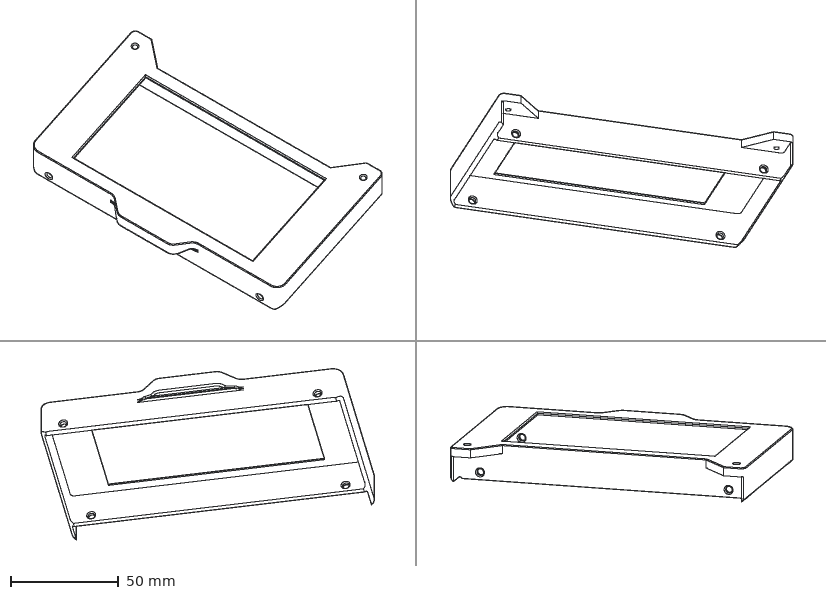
import cadquery as cq

LENGTH = 142.5
HALF_LENGTH = LENGTH / 2
TOLERANCE = 0.1
HEIGHT = 17.5
BODY_DEPTH = 71.7
FRONT_CORNER_RADIUS = 5.0
TOP_CHAMFER = 0.4
BOTTOM_CHAMFER = 2.8

TOP_THICKNESS = 1.3
SIDE_WALL = 1.7
FRONT_WALL = 3.0
REAR_WALL = 2.4
CAVITY_RADIUS = 1.7

WINDOW_LENGTH = 101.9
WINDOW_DEPTH = 57.4
WINDOW_BEVEL = 0.5

EAR_REACH = 12.0
EAR_INNER_X = 49.2
EAR_THICKNESS = 4.3
EAR_OVERHANG = 0.7
EAR_CORNER_RADIUS = 2.5
EAR_END_Y = BODY_DEPTH + EAR_REACH

TAB_REACH = 8.0
TAB_HALF_LENGTH = 15.1
TAB_RADIUS = 4.7
TAB_ROOT_THICKNESS = 5.8
TAB_TIP_THICKNESS = 8.3
TAB_SLOPE_START = 1.4
TAB_SLOPE_END = 5.3
TAB_CHAMFER = 0.9
TAB_FILL = 0.9
TAB_BLOCK_X = TAB_HALF_LENGTH + TAB_REACH + 2 * TAB_RADIUS

HOLE_BEVEL = 0.5
WALL_HOLE_DIAMETER = 3.1
WALL_HOLE_X = 60.0
WALL_HOLE_Z = 3.5
EAR_HOLE_DIAMETER = 2.4
EAR_HOLE_X = 65.0
EAR_HOLE_Y = 75.7


def box(x_min, x_max, y_min, y_max, z_min, z_max):
    """Axis-aligned block between the given limits."""
    size = (x_max - x_min, y_max - y_min, z_max - z_min)
    return cq.Workplane("XY").box(*size, centered=False).translate((x_min, y_min, z_min))


def make_body():
    """Solid block with the two ears, before hollowing."""
    ear_tip_x = EAR_INNER_X + EAR_REACH
    outline = [
        (-HALF_LENGTH, 0),
        (HALF_LENGTH, 0),
        (HALF_LENGTH, EAR_END_Y),
        (ear_tip_x, EAR_END_Y),
        (EAR_INNER_X, BODY_DEPTH),
        (-EAR_INNER_X, BODY_DEPTH),
        (-ear_tip_x, EAR_END_Y),
        (-HALF_LENGTH, EAR_END_Y),
    ]
    body = cq.Workplane("XY").polyline(outline).close().extrude(HEIGHT)
    side_edges = body.faces("<X or >X").edges("|Z")
    body = body.newObject(side_edges.edges("<Y").vals()).fillet(FRONT_CORNER_RADIUS)
    ear_corners = body.faces("<X or >X").edges("|Z").edges(">Y")
    return body.newObject(ear_corners.vals()).fillet(EAR_CORNER_RADIUS)


def make_tab_plan():
    """Full-height block with the flared outline of the tab, running into the front wall."""
    root_half_length = TAB_HALF_LENGTH + TAB_REACH
    plan = [
        (-TAB_BLOCK_X, FRONT_WALL),
        (-TAB_BLOCK_X, 0),
        (-root_half_length, 0),
        (-TAB_HALF_LENGTH, -TAB_REACH),
        (TAB_HALF_LENGTH, -TAB_REACH),
        (root_half_length, 0),
        (TAB_BLOCK_X, 0),
        (TAB_BLOCK_X, FRONT_WALL),
    ]
    block = cq.Workplane("XY").polyline(plan).close().extrude(HEIGHT)
    corners = block.edges("|Z").edges("not(<X or >X)")
    return block.newObject(corners.vals()).fillet(TAB_RADIUS)


def tab_prism(profile):
    """Extrude a (y, z) side profile along X across the whole tab block."""
    return cq.Workplane("YZ").polyline(profile).close().extrude(TAB_BLOCK_X, both=True)


def make_tab():
    """Flared finger tab whose underside slopes down towards a thicker tip."""
    root_z = HEIGHT - TAB_ROOT_THICKNESS
    tip_z = HEIGHT - TAB_TIP_THICKNESS
    side_shape = tab_prism([
        (FRONT_WALL, root_z),
        (-TAB_SLOPE_START, root_z),
        (-TAB_SLOPE_END, tip_z),
        (-TAB_REACH, tip_z),
        (-TAB_REACH, HEIGHT),
        (FRONT_WALL, HEIGHT),
    ])
    block = make_tab_plan()
    tab = block.intersect(side_shape)

    def is_crease(edge):
        middle = edge.Center()
        return abs(middle.x) < TOLERANCE and middle.y > -TAB_REACH + TOLERANCE

    rim_edges = [
        edge
        for edge in tab.edges("not |Z").vals()
        if edge.Center().z < root_z + TOLERANCE
        and edge.Center().y < TOLERANCE
        and abs(edge.Center().x) < TAB_BLOCK_X - TOLERANCE
        and not is_crease(edge)
    ]
    tab = tab.newObject(rim_edges).chamfer(TAB_CHAMFER)

    corner_fill = tab_prism([
        (FRONT_WALL, root_z),
        (FRONT_WALL, root_z - TAB_FILL),
        (0, root_z - TAB_FILL),
        (-TAB_FILL, root_z),
    ])
    return tab.union(block.intersect(corner_fill))


def make_cavity():
    """Main hollow below the top plate, open at the bottom."""
    inner_x = HALF_LENGTH - SIDE_WALL
    cavity = box(-inner_x, inner_x, FRONT_WALL, BODY_DEPTH - REAR_WALL, 0, HEIGHT - TOP_THICKNESS)
    return cavity.edges("|Z").fillet(CAVITY_RADIUS)


def make_ear_relief():
    """Space below the ear plates, open to the rear and bounded by the side walls."""
    inner_x = HALF_LENGTH - SIDE_WALL
    ear_bottom = HEIGHT - EAR_THICKNESS
    pocket = box(-inner_x, inner_x, BODY_DEPTH, EAR_END_Y, 0, ear_bottom)
    pocket = pocket.edges("|Z and <Y").fillet(CAVITY_RADIUS)
    wall_end = box(-HALF_LENGTH, HALF_LENGTH, EAR_END_Y - EAR_OVERHANG, EAR_END_Y, 0, ear_bottom)
    return pocket.union(wall_end)


def beveled_hole(start, direction, diameter, depth):
    """Cylinder along direction from the start point, with a conical mouth at the start."""
    radius = diameter / 2
    bore = cq.Solid.makeCylinder(radius, depth, start, direction)
    mouth = cq.Solid.makeCone(radius + HOLE_BEVEL, radius, HOLE_BEVEL, start, direction)
    return bore.fuse(mouth)


def wall_hole(x, wall_y, thickness):
    """Hole through a long wall, beveled on both faces."""
    inward = cq.Vector(0, 1, 0)
    near = cq.Vector(x, wall_y, WALL_HOLE_Z)
    far = near + inward * thickness
    front_half = beveled_hole(near, inward, WALL_HOLE_DIAMETER, thickness)
    rear_half = beveled_hole(far, -inward, WALL_HOLE_DIAMETER, thickness)
    return cq.Workplane(obj=front_half.fuse(rear_half))


def ear_hole(x):
    """Vertical hole through an ear plate, beveled at the top."""
    top = cq.Vector(x, EAR_HOLE_Y, HEIGHT)
    return cq.Workplane(obj=beveled_hole(top, cq.Vector(0, 0, -1), EAR_HOLE_DIAMETER, EAR_THICKNESS))


def side_bevel_wedge(side):
    """Triangular prism along the lower edge of the left (-1) or right (1) side."""
    outer_x = side * HALF_LENGTH
    corner = [(outer_x, 0), (outer_x - side * BOTTOM_CHAMFER, 0), (outer_x, BOTTOM_CHAMFER)]
    return cq.Workplane("XZ").polyline(corner).close().extrude(-EAR_END_Y)


def cut_window(frame):
    """Cut the window and bevel its upper rim."""
    window = (
        cq.Workplane("XY", origin=(0, BODY_DEPTH / 2, HEIGHT - TOP_THICKNESS))
        .rect(WINDOW_LENGTH, WINDOW_DEPTH)
        .extrude(TOP_THICKNESS)
    )
    rim = cq.selectors.BoxSelector(
        (-WINDOW_LENGTH / 2 - TOLERANCE, FRONT_WALL, HEIGHT - TOLERANCE),
        (WINDOW_LENGTH / 2 + TOLERANCE, BODY_DEPTH - REAR_WALL, HEIGHT + TOLERANCE),
    )
    return frame.cut(window).edges(rim).chamfer(WINDOW_BEVEL)


frame = make_body().union(make_tab()).clean()
frame = frame.faces(">Z").edges().chamfer(TOP_CHAMFER)

frame = frame.cut(make_cavity()).cut(make_ear_relief())
frame = cut_window(frame)

for side in (-1, 1):
    frame = frame.cut(side_bevel_wedge(side))
    frame = frame.cut(wall_hole(side * WALL_HOLE_X, 0, FRONT_WALL))
    frame = frame.cut(wall_hole(side * WALL_HOLE_X, BODY_DEPTH - REAR_WALL, REAR_WALL))
    frame = frame.cut(ear_hole(side * EAR_HOLE_X))

result = frame